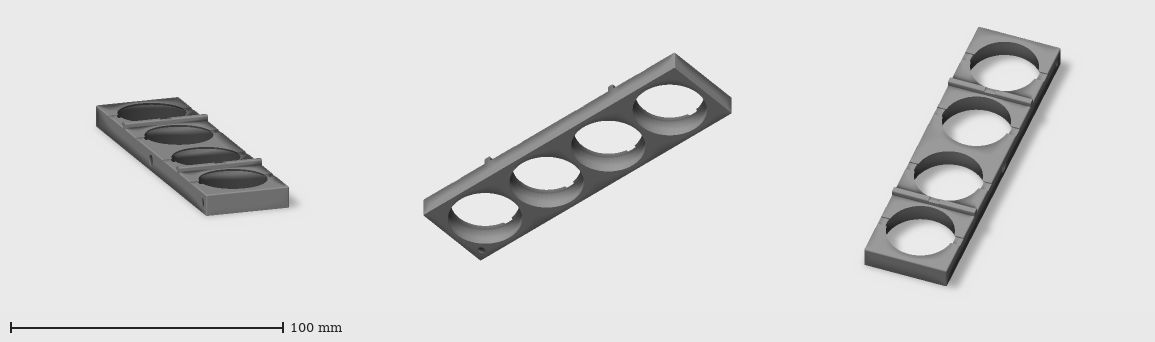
import cadquery as cq
import math

cell_count = 4
pocket_diameter = 27.3
wall = 2.5
deck_height = 8.0
ridge_height = 2.0

pitch = pocket_diameter + wall
length = cell_count * pitch + wall
width = pocket_diameter + 2 * wall
edge_radius = 0.5

lip_overhang = 1.0
mouth_diameter = pocket_diameter - 2 * lip_overhang
lip_slope = 45.0

ridge_width = wall
ridge_radius = 0.5
notch_width = 4.0
notch_depth = 0.5

socket_diameter = 4.3
socket_depth = 5.0
cord_diameter = 2.5
cord_inset = 4.0
cord_angle = 45.0
side_hole_height = deck_height / 2

cut_margin = 1.0

pocket_centers = [(i - (cell_count - 1) / 2) * pitch for i in range(cell_count)]
ridge_centers = [-pitch, pitch]


def make_body():
    """Bar with rounded upright and top edges."""
    bar = cq.Workplane("XY").box(length, width, deck_height, centered=(True, True, False))
    return bar.edges("|Z or >Z").fillet(edge_radius)


def make_ridge(x):
    """Cross ridge over the full width, with rounded top edges and a central notch."""
    base = deck_height - edge_radius
    top = deck_height + ridge_height
    ridge = (
        cq.Workplane("XY", origin=(x, 0, base))
        .box(ridge_width, width, top - base, centered=(True, True, False))
        .faces(">Z")
        .edges("|Y")
        .fillet(ridge_radius)
    )
    notch = cq.Workplane("XY", origin=(x, 0, top - notch_depth)).box(
        ridge_width + 2 * cut_margin, notch_width, notch_depth + cut_margin, centered=(True, True, False)
    )
    return ridge.cut(notch)


def make_pocket(x):
    """Through pocket that narrows conically to a smaller mouth at the deck."""
    pocket_radius = pocket_diameter / 2
    mouth_radius = mouth_diameter / 2
    lip_height = (pocket_radius - mouth_radius) / math.tan(math.radians(lip_slope))
    profile = [
        (0, 0),
        (pocket_radius, 0),
        (pocket_radius, deck_height - lip_height),
        (mouth_radius, deck_height),
        (0, deck_height),
    ]
    return cq.Workplane("XZ").polyline(profile).close().revolve(360, (0, 0), (0, 1)).translate((x, 0, 0))


def make_deck_notch(x):
    """Relief across the deck on both sides of a pocket."""
    return cq.Workplane("XY", origin=(x, 0, deck_height - notch_depth)).box(
        notch_width, width + 2 * cut_margin, notch_depth + cut_margin, centered=(True, True, False)
    )


def make_socket():
    """Blind round socket at the middle of the front wall."""
    face = cq.Workplane("XZ", origin=(0, -width / 2, side_hole_height))
    return face.circle(socket_diameter / 2).extrude(-socket_depth)


def make_cord_hole():
    """Sloping hole from the front wall down through the underside."""
    angle = math.radians(cord_angle)
    direction = cq.Vector(0, math.cos(angle), -math.sin(angle))
    entry = cq.Vector(length / 2 - cord_inset, -width / 2, side_hole_height)
    overrun = 2 * cord_diameter
    start = entry - direction * overrun
    drill_length = side_hole_height / math.sin(angle) + 2 * overrun
    return cq.Workplane(cq.Solid.makeCylinder(cord_diameter / 2, drill_length, start, direction))


result = make_body()
for center in pocket_centers:
    result = result.cut(make_pocket(center)).cut(make_deck_notch(center))
for center in ridge_centers:
    result = result.union(make_ridge(center))
result = result.cut(make_socket()).cut(make_cord_hole())